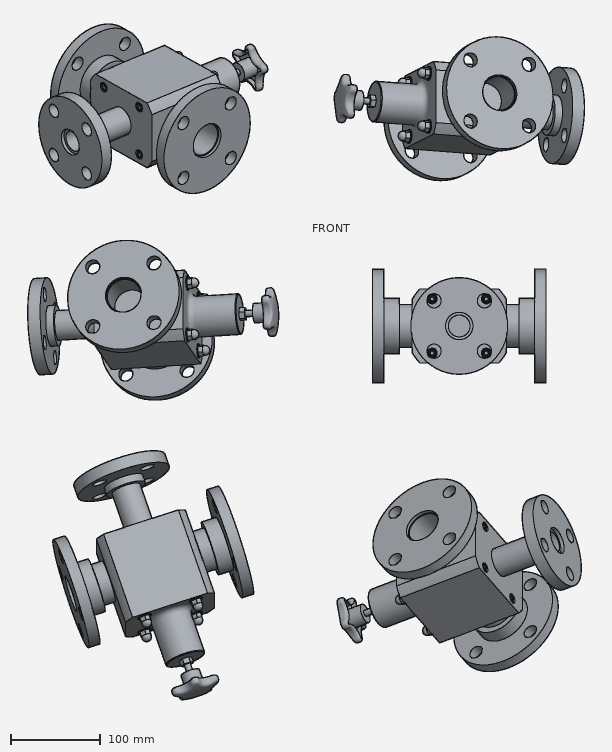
import cadquery as cq
import math


BLOCK_X = 104.775
BLOCK_Z = 82.55
BLOCK_FRONT_Y = -42.86
BLOCK_BACK_Y = 58.74
BLOCK_CORNER_DIAMETER = 120.65

RUN_FACE = 193.675 / 2
RUN_FLANGE_DIAMETER = 127.0
RUN_FLANGE_THICKNESS = 13.0
RUN_HUB_DIAMETER = 62.23
RUN_HUB_LENGTH = 17.0
RUN_PIPE_DIAMETER = 48.26
RUN_BORE_DIAMETER = 38.1
RUN_RECESS_DIAMETER = 40.64
RUN_BOLT_CIRCLE = 98.55

BRANCH_FACE = 117.85
BRANCH_FLANGE_DIAMETER = 107.95
BRANCH_FLANGE_THICKNESS = 14.22
BRANCH_HUB_DIAMETER = 45.72
BRANCH_HUB_LENGTH = 8.8
BRANCH_PIPE_DIAMETER = 33.4
BRANCH_BORE_DIAMETER = 24.31
BRANCH_RECESS_DIAMETER = 30.61
BRANCH_BOLT_CIRCLE = 79.4

BOLT_HOLE_DIAMETER = 15.88
BOLT_HOLE_COUNT = 4
PORT_RECESS_DEPTH = 4.2

SCREW_OFFSET = 30.16
COUNTERBORE_DIAMETER = 11.0
COUNTERBORE_DEPTH = 7.0
SCREW_HEAD_DIAMETER = 9.53
SCREW_HEAD_HEIGHT = 6.35
SCREW_RIM_DIAMETER = 7.44
SCREW_RIM_HEIGHT = 0.5
SOCKET_ACROSS_FLATS = 4.76
SOCKET_DEPTH = 3.2
SOCKET_CONE_DIAMETER = 4.45
SOCKET_CONE_DEPTH = 1.3
WASHER_DIAMETER = 15.75
WASHER_THICKNESS = 0.9
ACORN_ACROSS_FLATS = 11.11
ACORN_HEX_TOP = 6.1
ACORN_DOME_DIAMETER = 11.0
ACORN_DOME_BASE = 7.7

BONNET_DIAMETER = 45.72
BONNET_TOP_Y = 112.7
BONNET_CHAMFER = 1.0
BONNET_FILLET = 6.35
PACKING_NUT_ACROSS_FLATS = 12.7
PACKING_NUT_TOP_Y = 119.0
STEM_DIAMETER = 7.44

WHEEL_TOP_Y = 271.87 - BRANCH_FACE
WHEEL_BOTTOM_Y = 142.0
WHEEL_HUB_BOTTOM_Y = 129.0
WHEEL_HUB_DIAMETER = 22.1
WHEEL_LOBES = 5
WHEEL_RADIUS = 28.3
WHEEL_LOBE_RADIUS = 5.4
WHEEL_VALLEY_RADIUS = 18.7
WHEEL_CROWN_RADIUS = 9.0
WHEEL_RIM_HEIGHT = 7.8
WHEEL_TOP_FILLET = 3.0
WHEEL_BOTTOM_FILLET = 3.6
WHEEL_WALL = 3.8
WHEEL_HOLLOW_DEPTH = 6.0

X_AXIS = cq.Vector(1, 0, 0)
Y_AXIS = cq.Vector(0, 1, 0)


def rod(axis, start, end, diameter):
    """Cylinder centred on an axis through the origin, between two distances along it."""
    solid = cq.Solid.makeCylinder(diameter / 2, abs(end - start), axis * min(start, end), axis)
    return cq.Workplane(solid)


def y_plane(y, x=0, z=0):
    """Sketch plane facing +Y, with local x along +X and local y along -Z."""
    return cq.Workplane(cq.Plane(origin=(x, y, z), xDir=(1, 0, 0), normal=(0, 1, 0)))


def hexagon(y_start, y_end, across_flats, turn=0):
    """Hexagonal prism along Y; with no turn two of its corners lie on the X axis."""
    across_corners = across_flats / math.cos(math.pi / 6)
    prism = y_plane(y_start).polygon(6, across_corners).extrude(y_end - y_start)
    return prism.rotate((0, 0, 0), (0, 1, 0), turn)


def make_block():
    length = BLOCK_BACK_Y - BLOCK_FRONT_Y
    block = y_plane(BLOCK_FRONT_Y).rect(BLOCK_X, BLOCK_Z).extrude(length)
    return block.intersect(rod(Y_AXIS, BLOCK_FRONT_Y, BLOCK_BACK_Y, BLOCK_CORNER_DIAMETER))


def make_port(axis, face, block_face, flange, hub, pipe, bore, recess, bolt_circle):
    """Flanged pipe stub from the block face outwards; flange and hub are (diameter, length)."""
    flange_back = face - flange[1]
    port = rod(axis, block_face, face, pipe)
    port = port.union(rod(axis, flange_back - hub[1], face, hub[0]))
    port = port.union(rod(axis, flange_back, face, flange[0]))
    port = port.cut(rod(axis, block_face, face, bore))
    port = port.cut(rod(axis, face - PORT_RECESS_DEPTH, face, recess))
    side = axis.cross(cq.Vector(0, 0, 1))
    hole = rod(axis, flange_back, face, BOLT_HOLE_DIAMETER).translate(side * (bolt_circle / 2))
    for index in range(BOLT_HOLE_COUNT):
        angle = (index + 0.5) * 360 / BOLT_HOLE_COUNT
        port = port.cut(hole.rotate((0, 0, 0), axis.toTuple(), angle))
    return port


def make_run_port(axis):
    return make_port(
        axis,
        RUN_FACE,
        BLOCK_X / 2,
        (RUN_FLANGE_DIAMETER, RUN_FLANGE_THICKNESS),
        (RUN_HUB_DIAMETER, RUN_HUB_LENGTH),
        RUN_PIPE_DIAMETER,
        RUN_BORE_DIAMETER,
        RUN_RECESS_DIAMETER,
        RUN_BOLT_CIRCLE,
    )


def make_branch_port():
    return make_port(
        -Y_AXIS,
        BRANCH_FACE,
        -BLOCK_FRONT_Y,
        (BRANCH_FLANGE_DIAMETER, BRANCH_FLANGE_THICKNESS),
        (BRANCH_HUB_DIAMETER, BRANCH_HUB_LENGTH),
        BRANCH_PIPE_DIAMETER,
        BRANCH_BORE_DIAMETER,
        BRANCH_RECESS_DIAMETER,
        BRANCH_BOLT_CIRCLE,
    )


def make_bonnet():
    """Cylinder with a chamfered top and a concave fillet flaring onto the block."""
    radius = BONNET_DIAMETER / 2
    arc_centre_x = radius + BONNET_FILLET
    arc_centre_y = BLOCK_BACK_Y + BONNET_FILLET
    arc_reach = BONNET_FILLET * math.sqrt(0.5)
    profile = (
        cq.Workplane("XY")
        .moveTo(0, BLOCK_BACK_Y)
        .lineTo(arc_centre_x, BLOCK_BACK_Y)
        .threePointArc((arc_centre_x - arc_reach, arc_centre_y - arc_reach), (radius, arc_centre_y))
        .lineTo(radius, BONNET_TOP_Y - BONNET_CHAMFER)
        .lineTo(radius - BONNET_CHAMFER, BONNET_TOP_Y)
        .lineTo(0, BONNET_TOP_Y)
        .close()
    )
    return profile.revolve(360, (0, 0, 0), (0, 1, 0))


def make_stem():
    stem = rod(Y_AXIS, BONNET_TOP_Y, WHEEL_BOTTOM_Y, STEM_DIAMETER)
    return stem.union(hexagon(BONNET_TOP_Y, PACKING_NUT_TOP_Y, PACKING_NUT_ACROSS_FLATS))


def wheel_outline():
    """Star of round lobes joined by tangent hollow arcs, the first lobe towards +Z."""
    half_pitch = math.pi / WHEEL_LOBES
    lobe_centre = WHEEL_RADIUS - WHEEL_LOBE_RADIUS
    along = lobe_centre * math.cos(half_pitch) - WHEEL_VALLEY_RADIUS
    across = lobe_centre * math.sin(half_pitch)
    hollow_radius = (along**2 + across**2 - WHEEL_LOBE_RADIUS**2) / (2 * (along + WHEEL_LOBE_RADIUS))
    hollow_centre = WHEEL_VALLEY_RADIUS + hollow_radius
    share = WHEEL_LOBE_RADIUS / (WHEEL_LOBE_RADIUS + hollow_radius)
    touch_out = lobe_centre + share * (hollow_centre * math.cos(half_pitch) - lobe_centre)
    touch_side = share * hollow_centre * math.sin(half_pitch)
    touch_radius = math.hypot(touch_out, touch_side)
    touch_angle = math.atan2(touch_side, touch_out)

    def point(radius, angle):
        return (radius * math.sin(angle), -radius * math.cos(angle))

    outline = y_plane(WHEEL_BOTTOM_Y).moveTo(*point(touch_radius, -touch_angle))
    for index in range(WHEEL_LOBES):
        lobe = 2 * half_pitch * index
        next_lobe = lobe + 2 * half_pitch
        outline = outline.threePointArc(point(WHEEL_RADIUS, lobe), point(touch_radius, lobe + touch_angle))
        outline = outline.threePointArc(
            point(WHEEL_VALLEY_RADIUS, lobe + half_pitch),
            point(touch_radius, next_lobe - touch_angle),
        )
    return outline.close()


def make_handwheel():
    """Star under a crowned top, with rounded edges, a hollow underside and a round hub."""
    star = wheel_outline().extrude(WHEEL_TOP_Y - WHEEL_BOTTOM_Y)
    crown_drop = WHEEL_TOP_Y - WHEEL_BOTTOM_Y - WHEEL_RIM_HEIGHT
    crown_run = WHEEL_RADIUS - WHEEL_CROWN_RADIUS
    crown_arc_radius = (crown_run**2 + crown_drop**2) / (2 * crown_drop)
    crown = (
        cq.Workplane("XY")
        .moveTo(0, WHEEL_BOTTOM_Y)
        .lineTo(WHEEL_RADIUS, WHEEL_BOTTOM_Y)
        .lineTo(WHEEL_RADIUS, WHEEL_TOP_Y - crown_drop)
        .radiusArc((WHEEL_CROWN_RADIUS, WHEEL_TOP_Y), -crown_arc_radius)
        .lineTo(0, WHEEL_TOP_Y)
        .close()
        .revolve(360, (0, 0, 0), (0, 1, 0))
    )
    wheel = star.intersect(crown)
    wheel = wheel.edges("%BSPLINE").fillet(WHEEL_TOP_FILLET)
    wheel = wheel.faces("<Y").edges().fillet(WHEEL_BOTTOM_FILLET)
    hollow_top_y = WHEEL_BOTTOM_Y + WHEEL_HOLLOW_DEPTH
    wheel = wheel.cut(wheel_outline().offset2D(-WHEEL_WALL).extrude(WHEEL_HOLLOW_DEPTH))
    return wheel.union(rod(Y_AXIS, WHEEL_HUB_BOTTOM_Y, hollow_top_y, WHEEL_HUB_DIAMETER))


def make_counterbore():
    return rod(Y_AXIS, BLOCK_FRONT_Y, BLOCK_FRONT_Y + COUNTERBORE_DEPTH, COUNTERBORE_DIAMETER)


def make_screw_head():
    """Socket cap head standing on the counterbore floor, its top edge bevelled."""
    floor_y = BLOCK_FRONT_Y + COUNTERBORE_DEPTH
    top_y = floor_y - SCREW_HEAD_HEIGHT
    rim_y = top_y + SCREW_RIM_HEIGHT
    head_radius = SCREW_HEAD_DIAMETER / 2
    rim_radius = SCREW_RIM_DIAMETER / 2
    socket_floor_y = top_y + SOCKET_DEPTH
    head = rod(Y_AXIS, rim_y, floor_y, SCREW_HEAD_DIAMETER)
    bevel = cq.Solid.makeCone(
        rim_radius, head_radius, SCREW_RIM_HEIGHT, cq.Vector(0, top_y, 0), Y_AXIS
    )
    socket_cone = cq.Solid.makeCone(
        SOCKET_CONE_DIAMETER / 2, 0, SOCKET_CONE_DEPTH, cq.Vector(0, socket_floor_y, 0), Y_AXIS
    )
    socket = hexagon(top_y, socket_floor_y, SOCKET_ACROSS_FLATS, 30)
    return head.union(cq.Workplane(bevel)).cut(socket).cut(cq.Workplane(socket_cone))


def make_acorn_nut():
    """Washer, hexagon with corners towards +Z and -Z, and a domed cap."""
    dome_base_y = BLOCK_BACK_Y + ACORN_DOME_BASE
    nut = rod(Y_AXIS, BLOCK_BACK_Y, BLOCK_BACK_Y + WASHER_THICKNESS, WASHER_DIAMETER)
    nut = nut.union(hexagon(BLOCK_BACK_Y, BLOCK_BACK_Y + ACORN_HEX_TOP, ACORN_ACROSS_FLATS, 30))
    nut = nut.union(rod(Y_AXIS, BLOCK_BACK_Y, dome_base_y, ACORN_DOME_DIAMETER))
    dome = cq.Workplane("XY").sphere(ACORN_DOME_DIAMETER / 2).translate((0, dome_base_y, 0))
    return nut.union(dome)


def add_block_screws(body):
    for x in (-SCREW_OFFSET, SCREW_OFFSET):
        for z in (-SCREW_OFFSET, SCREW_OFFSET):
            place = (x, 0, z)
            body = body.cut(make_counterbore().translate(place))
            body = body.union(make_screw_head().translate(place))
            body = body.union(make_acorn_nut().translate(place))
    return body


valve = make_block()
valve = valve.union(make_run_port(X_AXIS))
valve = valve.union(make_run_port(-X_AXIS))
valve = valve.union(make_branch_port())
valve = valve.union(make_bonnet())
valve = valve.union(make_stem())
valve = valve.union(make_handwheel())
result = add_block_screws(valve)